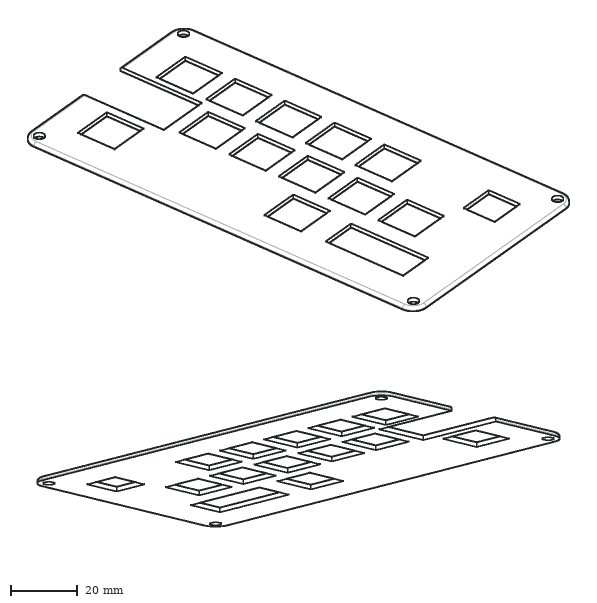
import cadquery as cq

length = 151.0
width = 77.8
thickness = 1.5
corner_radius = 5.0
edge_rounding = 1.0

screw_diameter = 3.5
screw_inset = 4.0

key_size = 14.0
key_pitch = 19.0
first_key_x = -56.5
first_key_y = 18.6
key_rows = [
    [0, 1, 2, 3, 4],
    [1.25, 2.25, 3.25, 4.25, 5.25],
    [0, 3.75],
]

notch_depth = 31.3
notch_width = 18.5
notch_center = (-length / 2 + notch_depth / 2, 0)

small_opening_length = 12.0
small_opening_width = 12.2
small_opening_center = (58.5, 19.6)

long_opening_length = 29.6
long_opening_width = 12.2
long_opening_center = (45.9, -20.1)


def plate():
    """Rounded rectangular plate with its upper rim rounded over."""
    blank = cq.Workplane("XY").box(length, width, thickness, centered=(True, True, False))
    return blank.edges("|Z").fillet(corner_radius).faces(">Z").edges().fillet(edge_rounding)


def openings(centers, x_size, y_size):
    """Rectangular prisms through the full thickness, one at each center."""
    return cq.Workplane("XY").pushPoints(centers).rect(x_size, y_size).extrude(thickness)


def key_centers():
    """Centers of all key openings, row by row towards -Y."""
    return [
        (first_key_x + column * key_pitch, first_key_y - row * key_pitch)
        for row, columns in enumerate(key_rows)
        for column in columns
    ]


def screw_holes():
    """One cylinder in each corner of the plate."""
    x_spacing = length - 2 * screw_inset
    y_spacing = width - 2 * screw_inset
    corners = cq.Workplane("XY").rect(x_spacing, y_spacing, forConstruction=True)
    return corners.vertices().circle(screw_diameter / 2).extrude(thickness)


result = (
    plate()
    .cut(openings(key_centers(), key_size, key_size))
    .cut(openings([notch_center], notch_depth, notch_width))
    .cut(openings([small_opening_center], small_opening_length, small_opening_width))
    .cut(openings([long_opening_center], long_opening_length, long_opening_width))
    .cut(screw_holes())
)